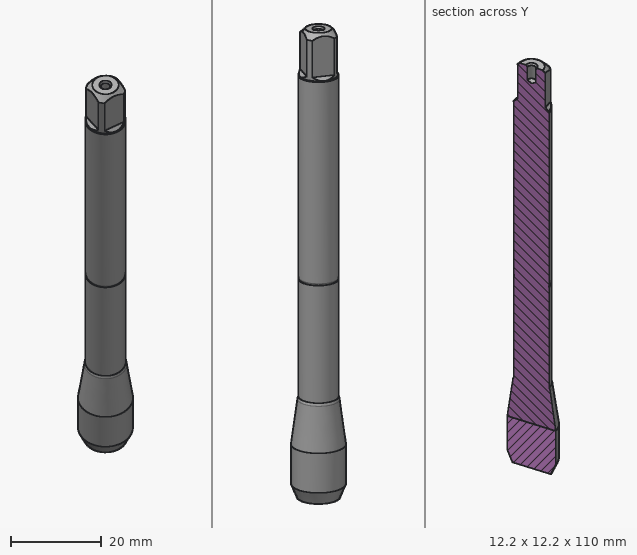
import cadquery as cq
import math

total_length = 110.0
tip_chamfer_length = 3.1
head_length = 12.4
taper_end = 23.0
neck_start = 23.6
neck_end = 51.2
shank_start = 51.7
square_start = 99.0

head_diameter = 12.19
tip_diameter = 9.6
taper_end_diameter = 9.35
neck_diameter = 8.95
shank_end_diameter = 8.7
shank_diameter = 9.0

square_width = 7.0
square_corner_diameter = 8.64
square_top_diameter = 5.8
square_bevel_length = 1.4
flat_count = 4
runout_length = (shank_diameter - square_width) / 2

centre_hole_diameter = 2.0
countersink_diameter = 2.7
centre_hole_depth = 4.0
countersink_angle = 75.0
drill_point_angle = 120.0


def revolved(profile):
    """Solid of revolution about Z from (radius, height) points, the first one on the axis."""
    points = profile + [(0, profile[-1][1])]
    return cq.Workplane("XZ").polyline(points).close().revolve(360, (0, 0), (0, 1))


def make_head():
    """Cylindrical head with a conical lead-in at the tip."""
    return revolved([
        (0, 0),
        (tip_diameter / 2, 0),
        (head_diameter / 2, tip_chamfer_length),
        (head_diameter / 2, head_length),
    ])


def make_shank_blank():
    """Turned shank: taper, neck, cylindrical shank and bevelled drive end."""
    shoulder = (shank_diameter - square_corner_diameter) / 2
    return revolved([
        (0, head_length),
        (head_diameter / 2, head_length),
        (taper_end_diameter / 2, taper_end),
        (neck_diameter / 2, neck_start),
        (neck_diameter / 2, neck_end),
        (shank_end_diameter / 2, neck_end),
        (shank_diameter / 2, shank_start),
        (shank_diameter / 2, square_start),
        (square_corner_diameter / 2, square_start + shoulder),
        (square_corner_diameter / 2, total_length - square_bevel_length),
        (square_top_diameter / 2, total_length),
    ])


def make_flat_cutter():
    """Cutter for one flat on the +X side, with a 45 degree run-out at its foot."""
    half_width = square_width / 2
    outer = shank_diameter
    return (
        cq.Workplane("XZ")
        .moveTo(half_width, total_length)
        .lineTo(half_width, square_start + runout_length)
        .lineTo(outer, square_start + runout_length - (outer - half_width))
        .lineTo(outer, total_length)
        .close()
        .extrude(shank_diameter, both=True)
    )


def make_centre_hole():
    """Countersunk blind hole with a drill point."""
    hole_radius = centre_hole_diameter / 2
    sink_radius = countersink_diameter / 2
    sink_depth = (sink_radius - hole_radius) / math.tan(math.radians(countersink_angle / 2))
    point_depth = hole_radius / math.tan(math.radians(drill_point_angle / 2))
    hole_bottom = total_length - centre_hole_depth
    return revolved([
        (0, hole_bottom - point_depth),
        (hole_radius, hole_bottom),
        (hole_radius, total_length - sink_depth),
        (sink_radius, total_length),
    ])


def make_shank():
    """Shank body with four flats forming the drive square and a centre hole in its end."""
    shank = make_shank_blank()
    flat_cutter = make_flat_cutter()
    for side in range(flat_count):
        shank = shank.cut(flat_cutter.rotate((0, 0, 0), (0, 0, 1), 360 / flat_count * side))
    return shank.cut(make_centre_hole())


head = make_head()
shank = make_shank()
result = cq.Compound.makeCompound([head.val(), shank.val()])